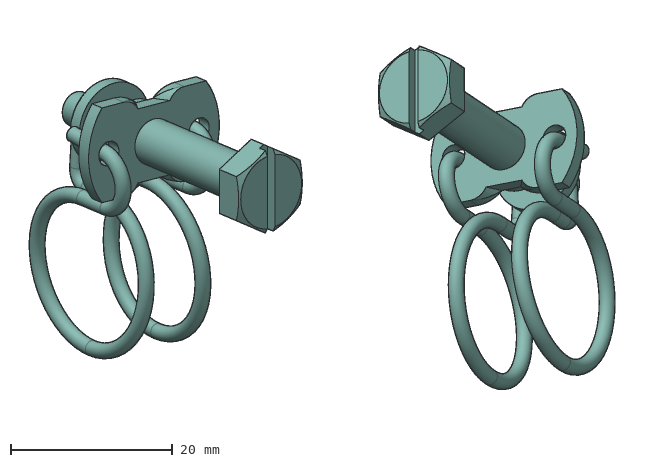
import cadquery as cq
import math


wire_diameter = 2.0
coil_radius = 10.03
coil_bottom_z = -27.55
wire_tilt = math.radians(3.9)
corner_radius = 2.1
hook_radius = 3.72
hook_start_x = 4.65
hook_tail_angle = math.radians(6)
hook_end_x = -1.35

screw_radius = 3.0
tip_diameter = 4.5
tip_start_x = -9.6
flange_radius = 5.5
flange_start_x = -3.75
flange_thickness = 1.78
overall_length = 40.45
head_thickness = 4.0
head_across_flats = 10.0
chamfer_face_radius = 4.77
chamfer_angle = math.radians(30)
slot_width = 1.2
slot_depth = 1.5

plate_start_x = 3.95
plate_thickness = 2.0
plate_diameter = 20.5
plate_height = 12.4
collar_radius = 4.45
collar_length = 2.0
wire_hole_radius = 1.58
wire_hole_y = 7.08
notch_half_width = 4.75
notch_floor_z = 4.85
notch_front_half_floor = 1.35
notch_back_half_floor = 2.5

wire_radius = wire_diameter / 2
tip_radius = tip_diameter / 2
yoke_radius = tip_radius + wire_radius
head_end_x = overall_length - coil_radius - wire_radius
plate_radius = plate_diameter / 2
plate_end_x = plate_start_x + plate_thickness
head_start_x = head_end_x - head_thickness


def rod(radius, start_x, end_x):
    """Cylinder on the screw axis."""
    return cq.Workplane("YZ", origin=(start_x, 0, 0)).circle(radius).extrude(end_x - start_x)


def make_head():
    """Hexagon head with corners at +Z and -Z, a chamfered end and a screwdriver slot."""
    corner_distance = head_across_flats / 2 / math.cos(math.pi / 6)
    head = (
        cq.Workplane("YZ", origin=(head_start_x, 0, 0))
        .transformed(rotate=(0, 0, 90))
        .polygon(6, 2 * corner_distance)
        .extrude(head_thickness)
    )
    envelope_radius = head_across_flats
    chamfer_length = (envelope_radius - chamfer_face_radius) * math.tan(chamfer_angle)
    envelope = (
        cq.Workplane("XY")
        .moveTo(head_start_x, 0)
        .lineTo(head_start_x, envelope_radius)
        .lineTo(head_end_x - chamfer_length, envelope_radius)
        .lineTo(head_end_x, chamfer_face_radius)
        .lineTo(head_end_x, 0)
        .close()
        .revolve(360, (0, 0, 0), (1, 0, 0))
    )
    slot = cq.Workplane("XY").box(2 * slot_depth, slot_width, 3 * corner_distance)
    return head.intersect(envelope).cut(slot.translate((head_end_x, 0, 0)))


def make_screw():
    flange_end_x = flange_start_x + flange_thickness
    tip = rod(tip_radius, tip_start_x, flange_start_x)
    flange = rod(flange_radius, flange_start_x, flange_end_x)
    shank = rod(screw_radius, flange_end_x, head_start_x)
    return tip.union(flange).union(shank).union(make_head())


def notch_cutter(start_half_width, half_floor, start_x, shift_y):
    """Half notch at +Y, +Z with a convex side; its far end is shifted by shift_y along Y."""
    top_z = plate_height / 2
    depth = top_z - notch_floor_z
    run = start_half_width - half_floor
    side_radius = (run**2 + depth**2) / (2 * depth)
    half_sweep = math.atan2(run, side_radius - depth) / 2
    middle = (
        start_half_width - side_radius * math.sin(half_sweep),
        top_z - side_radius * (1 - math.cos(half_sweep)),
    )
    profile = (
        cq.Workplane("YZ", origin=(start_x, 0, 0))
        .moveTo(0, notch_floor_z)
        .lineTo(half_floor, notch_floor_z)
        .threePointArc(middle, (start_half_width, top_z))
        .lineTo(0, top_z)
        .close()
    )
    path = cq.Workplane("XY").moveTo(start_x, 0).lineTo(plate_end_x, shift_y)
    return profile.sweep(path)


def make_notch():
    """Notch in the top edge, with sides that flare towards the head of the screw."""
    flare = notch_back_half_floor - notch_front_half_floor
    straight = notch_cutter(notch_half_width, notch_front_half_floor, plate_start_x, 0)
    flared = notch_cutter(notch_half_width - flare, notch_front_half_floor, plate_start_x, flare)
    half = straight.union(flared)
    return half.union(half.mirror("XZ"))


def make_plate():
    """Round plate with flat top and bottom, notches, wire holes, a collar and the screw bore."""
    flats = cq.Workplane("XY").box(2 * plate_diameter, 2 * plate_diameter, plate_height)
    plate = rod(plate_radius, plate_start_x, plate_end_x).intersect(flats)
    notch = make_notch()
    plate = plate.cut(notch).cut(notch.mirror("XY"))
    plate = plate.union(rod(collar_radius, plate_start_x - collar_length, plate_start_x))
    for side in (-1, 1):
        hole = rod(wire_hole_radius, plate_start_x, plate_end_x)
        plate = plate.cut(hole.translate((0, side * wire_hole_y, 0)))
    return plate.cut(rod(screw_radius, plate_start_x - collar_length, plate_end_x))


def make_wire():
    """One bent wire: a yoke around the tip, two coils and two hooks through the plate."""
    yoke_x = flange_start_x - wire_radius
    leg_top_y = yoke_radius * math.cos(wire_tilt)
    leg_top_z = yoke_radius * math.sin(wire_tilt)
    leg_top_height = (leg_top_z - coil_bottom_z) / math.cos(wire_tilt)
    coil_bottom_y = leg_top_y + leg_top_height * math.sin(wire_tilt)
    coil_top = 2 * coil_radius
    diagonal = math.sqrt(0.5)

    def on_plane(x, height, lean):
        """Point in a half coil's plane, height measured up the plane from the coil bottom."""
        y = coil_bottom_y + lean * height * math.sin(wire_tilt)
        return cq.Vector(x, y, coil_bottom_z + height * math.cos(wire_tilt))

    def inner(x, height):
        return on_plane(x, height, -1)

    def outer(x, height):
        return on_plane(x, height, 1)

    yoke_top = cq.Vector(yoke_x, 0, yoke_radius)
    yoke_middle_angle = (math.pi / 2 + wire_tilt) / 2
    yoke_middle = cq.Vector(
        yoke_x,
        yoke_radius * math.cos(yoke_middle_angle),
        yoke_radius * math.sin(yoke_middle_angle),
    )
    corner_start = inner(yoke_x, coil_top + corner_radius)
    corner_middle = inner(
        yoke_x + corner_radius * (1 - diagonal), coil_top + corner_radius * (1 - diagonal)
    )
    corner_end = inner(yoke_x + corner_radius, coil_top)
    hook_centre = coil_top + hook_radius
    tail_x = hook_start_x + hook_radius * math.sin(hook_tail_angle)
    tail_height = hook_centre + hook_radius * math.cos(hook_tail_angle)
    end_height = tail_height + (tail_x - hook_end_x) * math.tan(hook_tail_angle)

    path = cq.Wire.assembleEdges([
        cq.Edge.makeThreePointArc(yoke_top, yoke_middle, inner(yoke_x, leg_top_height)),
        cq.Edge.makeLine(inner(yoke_x, leg_top_height), corner_start),
        cq.Edge.makeThreePointArc(corner_start, corner_middle, corner_end),
        cq.Edge.makeLine(corner_end, inner(0, coil_top)),
        cq.Edge.makeThreePointArc(inner(0, coil_top), inner(coil_radius, coil_radius), inner(0, 0)),
        cq.Edge.makeThreePointArc(outer(0, 0), outer(-coil_radius, coil_radius), outer(0, coil_top)),
        cq.Edge.makeLine(outer(0, coil_top), outer(hook_start_x, coil_top)),
        cq.Edge.makeThreePointArc(
            outer(hook_start_x, coil_top),
            outer(hook_start_x + hook_radius, hook_centre),
            outer(tail_x, tail_height),
        ),
        cq.Edge.makeLine(outer(tail_x, tail_height), outer(hook_end_x, end_height)),
    ])
    section = cq.Workplane("XZ", origin=(yoke_x, 0, yoke_radius)).circle(wire_radius)
    half = section.sweep(path)
    return half.union(half.mirror("XZ"))


screw = make_screw()
plate = make_plate()
wire = make_wire()

result = cq.Compound.makeCompound([body.solids().val() for body in (screw, plate, wire)])